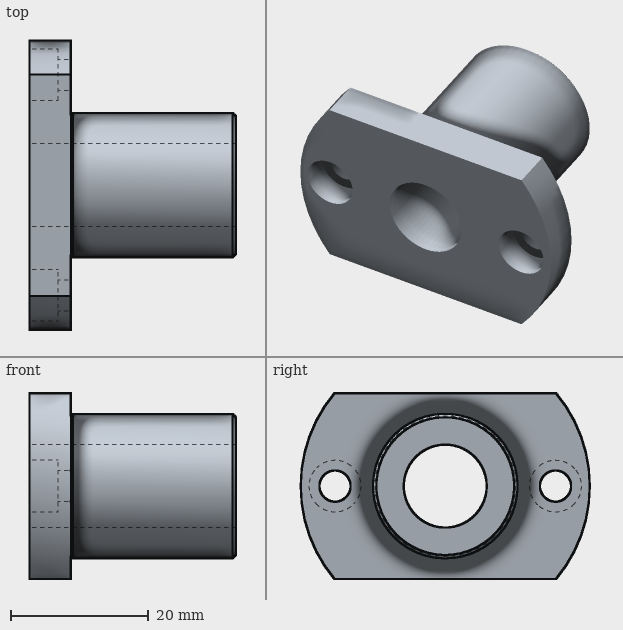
import cadquery as cq

flange_diameter = 42.0
flange_height = 27.0
flange_thickness = 6.0

total_length = 30.0
body_diameter = 21.0
bore_diameter = 12.0
end_chamfer = 0.5

relief_diameter = 20.4
relief_width = 0.35

hole_spacing = 32.0
hole_diameter = 4.5
counterbore_diameter = 7.5
counterbore_depth = 4.1


def cylinder_along_x(diameter, start, length):
    """Cylinder centred on the X axis, running from x = start."""
    return cq.Workplane("YZ", origin=(start, 0, 0)).circle(diameter / 2).extrude(length)


def make_flange():
    """Disc with its top and bottom cut flat, its outer face at x = 0."""
    disc = cylinder_along_x(flange_diameter, 0, flange_thickness)
    flats = cq.Workplane("YZ").rect(flange_diameter, flange_height).extrude(flange_thickness)
    return disc.intersect(flats)


def make_body():
    """Plain cylinder with a chamfered free end and a relief neck at the flange."""
    body_start = flange_thickness + relief_width
    body = cylinder_along_x(body_diameter, body_start, total_length - body_start)
    body = body.faces(">X").chamfer(end_chamfer)
    neck = cylinder_along_x(relief_diameter, flange_thickness, relief_width)
    return neck.union(body)


def drill_mounting_holes(part):
    """Counterbored holes through the flange, sunk from its outer face."""
    for y in (-hole_spacing / 2, hole_spacing / 2):
        through = cylinder_along_x(hole_diameter, 0, flange_thickness)
        counterbore = cylinder_along_x(counterbore_diameter, 0, counterbore_depth)
        part = part.cut(through.union(counterbore).translate((0, y, 0)))
    return part


flanged_body = make_flange().union(make_body())
bored_body = flanged_body.cut(cylinder_along_x(bore_diameter, 0, total_length))
result = drill_mounting_holes(bored_body)